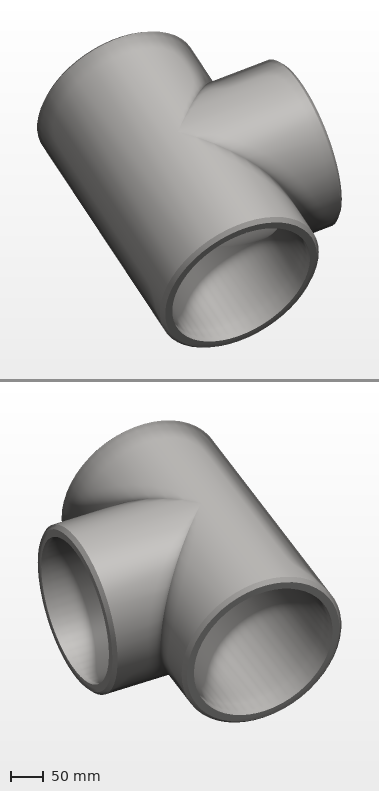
import cadquery as cq

run_length = 432.0
outer_diameter = 273.0
bore_diameter = 236.5
chamfer_size = 6.0
branch_length = run_length / 2


def run_cylinder(diameter):
    return cq.Workplane("YZ").circle(diameter / 2).extrude(run_length / 2, both=True)


def branch_cylinder(diameter):
    return cq.Workplane("XZ").circle(diameter / 2).extrude(-branch_length)


run = run_cylinder(outer_diameter).faces("<X or >X").edges().chamfer(chamfer_size)
branch = branch_cylinder(outer_diameter).faces(">Y").edges().chamfer(chamfer_size)

bores = run_cylinder(bore_diameter).union(branch_cylinder(bore_diameter))

result = run.union(branch).cut(bores)